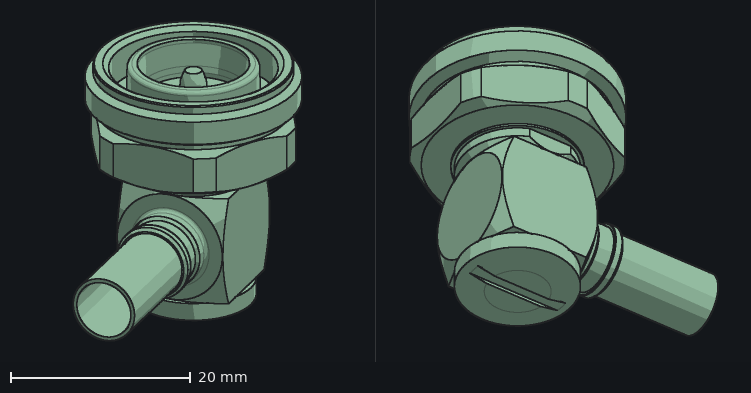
import cadquery as cq
import math


overall_length = 36.6

block_side = 12.92
block_half = block_side / 2
face_circle_radius = 6.4
corner_cone_angle = 30.0
corner_slope = math.tan(math.radians(corner_cone_angle))

cap_radius = 7.03
cap_height = 2.1
dome_height = 0.65
dome_flat_radius = 3.75
slot_width = 1.57
slot_depth = 0.45

neck_cone_top = 7.35
flange_bottom = 8.5
flange_radius = 7.43

nut_bottom = 8.8
nut_top = 14.3
hex_across_flats = 21.95
hex_corner_radius = 12.0
hex_turn = 30.0
nut_cone_angle = 30.0
nut_neck_radius = 10.9
nut_bottom_radius = 10.72
nut_slope = math.tan(math.radians(nut_cone_angle))

rim_top = 19.8
collar_diameter = 24.2
collar_radius = collar_diameter / 2
collar_under = 14.85
collar_bottom = 15.52
collar_top = 18.25
lip_bottom = 18.8
lip_radius = 11.2
lip_chamfer = 0.15

cavity_floor = 15.45
cavity_radius = 9.45
mouth_radius = 10.1
mouth_depth = 0.5

ring_base_radius = 7.5
ring_radius = 7.4
ring_rounding = 0.5
ring_bore_radius = 6.25
ring_bore_land = 0.4
ring_bore_end_radius = 5.85
ring_bore_end = 16.75
insulator_radius = 5.75
insulator_cone_end = 16.03

pin_radius = 1.55
pin_tip_radius = 0.95
pin_shoulder = 16.8
pin_top = 18.95

collar_flare = 0.45
crimp_collar_radius = 4.32
crimp_groove_radius = 3.95
crimp_chamfer = crimp_collar_radius - crimp_groove_radius
groove_start = 8.3
groove_end = 10.3
crimp_collar_end = 11.53
groove_edge_chamfer = 0.07
sleeve_diameter = 7.5
sleeve_radius = sleeve_diameter / 2
sleeve_bore_radius = 3.3
sleeve_end = overall_length - collar_radius

stub_radius = 2.7
stub_taper_radius = 2.27
stub_taper_length = 1.1
stub_tip_chamfer = 0.15


def turned_about_z(points):
    """Solid turned about Z from (radius, z) points."""
    return cq.Workplane("XZ").polyline(points).close().revolve(360, (0, 0, 0), (0, 1, 0))


def turned_about_y(points):
    """Solid turned about Y from (radius, y) points."""
    return cq.Workplane("XY").polyline(points).close().revolve(360, (0, 0, 0), (0, 1, 0))


def elbow_block():
    """Cube whose corners are turned down around the -Y and +Y faces."""
    corner_radius = block_half * math.sqrt(2)
    corner_drop = (corner_radius - face_circle_radius) * corner_slope
    envelope = turned_about_y([
        (0, -block_half),
        (face_circle_radius, -block_half),
        (corner_radius, -block_half + corner_drop),
        (corner_radius, block_half - corner_drop),
        (face_circle_radius, block_half),
        (0, block_half),
    ])
    return cq.Workplane("XY").box(block_side, block_side, block_side).intersect(envelope)


def bottom_cap():
    """Slotted, slightly domed cap below the block."""
    edge_z = -block_half - cap_height
    bottom_z = edge_z - dome_height
    cap = turned_about_z([
        (0, -block_half),
        (cap_radius, -block_half),
        (cap_radius, edge_z),
        (dome_flat_radius, bottom_z),
        (0, bottom_z),
    ])
    slot = (
        cq.Workplane("XY", origin=(0, 0, bottom_z))
        .rect(slot_width, 2 * cap_radius)
        .extrude(slot_depth)
    )
    return cap.cut(slot)


def neck():
    """Collar above the block, flattened on both X sides, with its flange."""
    collar = turned_about_z([
        (0, block_half),
        (block_half, block_half),
        (cap_radius, neck_cone_top),
        (cap_radius, flange_bottom),
        (0, flange_bottom),
    ])
    flats = cq.Workplane("XY").box(block_side, 2 * cap_radius, 2 * flange_bottom)
    flange = (
        cq.Workplane("XY", origin=(0, 0, flange_bottom))
        .circle(flange_radius)
        .extrude(nut_bottom - flange_bottom)
    )
    return collar.intersect(flats).union(flange)


def hex_nut():
    """Hexagon with rounded corners and shallow cones on both ends."""
    envelope = turned_about_z([
        (0, nut_bottom),
        (nut_bottom_radius, nut_bottom),
        (hex_corner_radius, nut_bottom + (hex_corner_radius - nut_bottom_radius) * nut_slope),
        (hex_corner_radius, nut_top - (hex_corner_radius - nut_neck_radius) * nut_slope),
        (nut_neck_radius, nut_top),
        (0, nut_top),
    ])
    hexagon = (
        cq.Workplane("XY", origin=(0, 0, nut_bottom))
        .polygon(6, hex_across_flats, circumscribed=True)
        .extrude(nut_top - nut_bottom)
        .rotate((0, 0, 0), (0, 0, 1), hex_turn)
    )
    return hexagon.intersect(envelope)


def coupling_collar():
    """Round collar with the open cavity in its top."""
    return turned_about_z([
        (0, nut_top),
        (nut_neck_radius, nut_top),
        (nut_neck_radius, collar_under),
        (collar_radius, collar_bottom),
        (collar_radius, collar_top),
        (lip_radius, lip_bottom),
        (lip_radius, rim_top - lip_chamfer),
        (lip_radius - lip_chamfer, rim_top),
        (mouth_radius, rim_top),
        (cavity_radius, rim_top - mouth_depth),
        (cavity_radius, cavity_floor),
        (0, cavity_floor),
    ])


def contact_ring():
    """Standing ring in the cavity, rounded outside and tapered inside."""
    rounding_mid = ring_rounding * (1 - math.sqrt(0.5))
    return (
        cq.Workplane("XZ")
        .moveTo(insulator_radius, cavity_floor)
        .lineTo(ring_base_radius, cavity_floor)
        .lineTo(ring_radius, rim_top - ring_rounding)
        .threePointArc(
            (ring_radius - rounding_mid, rim_top - rounding_mid),
            (ring_radius - ring_rounding, rim_top),
        )
        .lineTo(ring_bore_radius, rim_top)
        .lineTo(ring_bore_radius, rim_top - ring_bore_land)
        .lineTo(ring_bore_end_radius, ring_bore_end)
        .lineTo(insulator_radius, insulator_cone_end)
        .close()
        .revolve(360, (0, 0, 0), (0, 1, 0))
    )


def centre_pin():
    """Pin with a curved nose and a flat tip."""
    return (
        cq.Workplane("XZ")
        .moveTo(0, cavity_floor)
        .lineTo(pin_radius, cavity_floor)
        .lineTo(pin_radius, pin_shoulder)
        .tangentArcPoint((pin_tip_radius, pin_top), relative=False)
        .lineTo(0, pin_top)
        .close()
        .revolve(360, (0, 0, 0), (0, 1, 0))
    )


def crimp_collar():
    """Grooved collar that flares into the -Y face of the block."""
    return (
        cq.Workplane("XY")
        .moveTo(0, -crimp_collar_end)
        .lineTo(crimp_groove_radius, -crimp_collar_end)
        .lineTo(crimp_collar_radius, -crimp_collar_end + crimp_chamfer)
        .lineTo(crimp_collar_radius, -groove_end - groove_edge_chamfer)
        .lineTo(crimp_collar_radius - groove_edge_chamfer, -groove_end)
        .lineTo(crimp_groove_radius, -groove_end)
        .lineTo(crimp_groove_radius, -groove_start)
        .lineTo(crimp_collar_radius, -groove_start + crimp_chamfer)
        .lineTo(crimp_collar_radius, -block_half - collar_flare)
        .tangentArcPoint((crimp_collar_radius + collar_flare, -block_half), relative=False)
        .lineTo(0, -block_half)
        .close()
        .revolve(360, (0, 0, 0), (0, 1, 0))
    )


def cable_sleeve():
    """Thin tube that carries the cable."""
    return turned_about_y([
        (sleeve_bore_radius, -crimp_collar_end),
        (sleeve_radius, -crimp_collar_end),
        (sleeve_radius, -sleeve_end),
        (sleeve_bore_radius, -sleeve_end),
    ])


def cable_stub():
    """Tapered stub at the bottom of the sleeve bore."""
    tip = crimp_collar_end + stub_taper_length + stub_tip_chamfer
    return turned_about_y([
        (0, -crimp_collar_end),
        (stub_radius, -crimp_collar_end),
        (stub_taper_radius, -crimp_collar_end - stub_taper_length),
        (stub_taper_radius - stub_tip_chamfer, -tip),
        (0, -tip),
    ])


result = (
    elbow_block()
    .union(bottom_cap())
    .union(neck())
    .union(hex_nut())
    .union(coupling_collar())
    .union(contact_ring())
    .union(centre_pin())
    .union(crimp_collar())
    .union(cable_sleeve())
    .union(cable_stub())
)